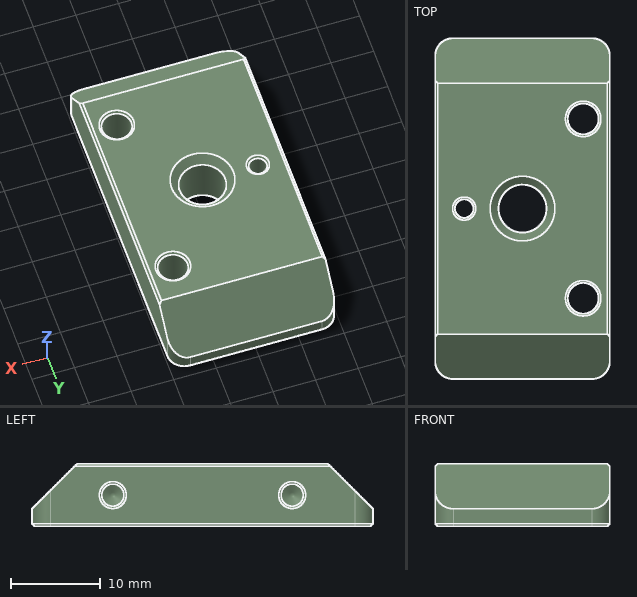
import cadquery as cq
import math

length = 38.0
width = 19.5
height = 7.0
end_slope = 5.0
corner_radius = 2.0
edge_chamfer = 0.3

hole_spacing = 20.0
screw_x = 6.75
screw_bore = 3.42
screw_mouth = 3.95
pin_x = -6.5
pin_bore = 2.05
pin_mouth = 2.6
center_bore = 5.32
center_mouth = 7.22
side_bore = 2.47
side_mouth = 3.0
side_depth = 6.0
side_z = height / 2
drill_point_angle = 118.0


def make_block():
    """Rounded plate with chamfered long top edges, bevelled ends and a chamfered base."""
    block = cq.Workplane("XY").box(width, length, height, centered=(True, True, False))
    block = block.edges("|Z").fillet(corner_radius)
    block = block.faces("<Z").edges().chamfer(edge_chamfer)

    half_length = length / 2
    side_profile = (
        cq.Workplane("YZ")
        .polyline([
            (-half_length, 0),
            (half_length, 0),
            (half_length, height - end_slope),
            (half_length - end_slope, height),
            (-half_length + end_slope, height),
            (-half_length, height - end_slope),
        ])
        .close()
        .extrude(width / 2, both=True)
    )
    side_profile = side_profile.faces(">Z").edges("|Y").chamfer(edge_chamfer)
    return block.intersect(side_profile)


def through_hole(x, y, bore, mouth):
    """Vertical through hole with a countersink at the top face."""
    sink_depth = (mouth - bore) / 2
    drill = cq.Solid.makeCylinder(bore / 2, height, cq.Vector(x, y, 0))
    sink = cq.Solid.makeCone(bore / 2, mouth / 2, sink_depth, cq.Vector(x, y, height - sink_depth))
    return drill.fuse(sink)


def side_hole(y):
    """Blind hole drilled along +X from the -X side, with a countersink and a conical end."""
    radius = side_bore / 2
    mouth_radius = side_mouth / 2
    sink_depth = mouth_radius - radius
    point_length = radius / math.tan(math.radians(drill_point_angle / 2))
    profile = [
        (0, 0),
        (0, mouth_radius),
        (sink_depth, radius),
        (side_depth, radius),
        (side_depth + point_length, 0),
    ]
    return (
        cq.Workplane("XY")
        .polyline(profile)
        .close()
        .revolve(360, (0, 0), (1, 0))
        .translate((-width / 2, y, side_z))
    )


result = make_block()
result = result.cut(through_hole(0, 0, center_bore, center_mouth))
result = result.cut(through_hole(pin_x, 0, pin_bore, pin_mouth))
for hole_y in (-hole_spacing / 2, hole_spacing / 2):
    result = result.cut(through_hole(screw_x, hole_y, screw_bore, screw_mouth))
    result = result.cut(side_hole(hole_y))